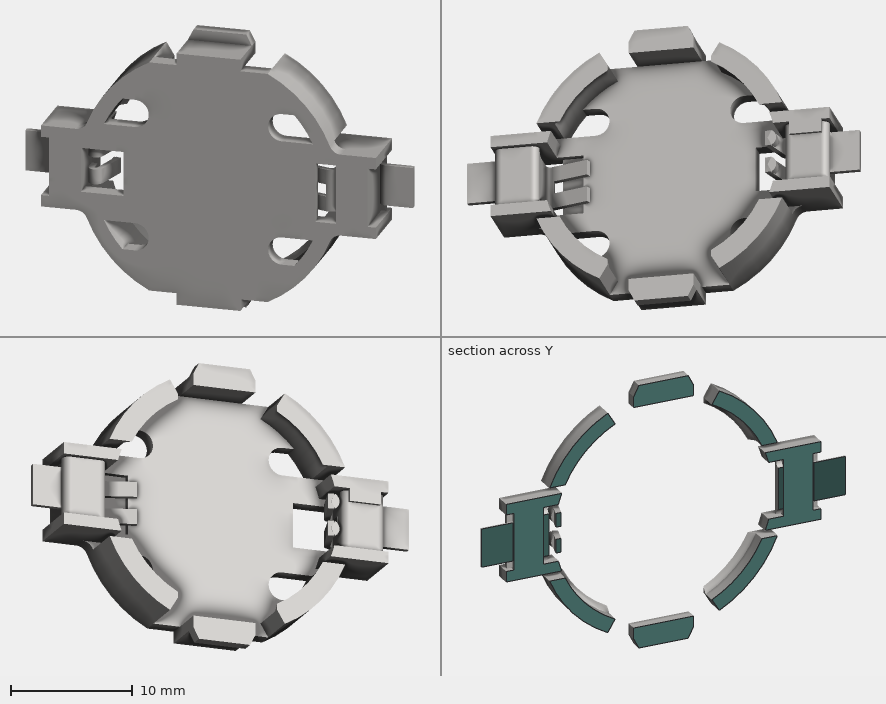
import cadquery as cq
import math


overall_height = 23.9
disc_height = 20.0
clip_width = 5.47
plate_thickness = 1.4
wall_height = 5.2
outer_radius = 11.2
cavity_radius = 9.88
rim_radius = 9.4
flat_half_height = disc_height / 2
wall_end_z = 4.2
wall_opening_inner_x = 4.38
flat_half_width = math.sqrt(outer_radius**2 - flat_half_height**2)
cavity_opening_z = math.sqrt(cavity_radius**2 - wall_opening_inner_x**2)

clip_half_width = clip_width / 2
clip_top_z = 11.0
clip_height = 4.55
lip_bottom_y = 3.45
lip_top_z = overall_height / 2
lip_end_half_width = 2.25

arm_end_x = 14.32
arm_half_width = 3.55
arm_height = 4.95
arm_blend_radius = 1.0
channel_half_width = 2.55
saddle_outer_x = 13.62
saddle_inner_x = 10.9
saddle_height = 4.15

bottom_window_inner_x = 9.15
edge_window_inner_x = 7.25
edge_window_half_width = 1.92

slot_inner_x = 5.1
slot_low_z = wall_end_z
slot_width = 2.4

prong_recess_inner_x = 7.3
prong_recess_y = 0.83
keeper_low_z = 1.45

sheet = 0.5
bend_inner = 0.1
bend = bend_inner + sheet / 2
contact_end_x = 16.58
leg_bottom_y = 3.25
leg_half_width = 1.75
band_half_width = 2.45
spring_half_width = 1.82
shoulder_y = 3.3
shoulder_radius = band_half_width - spring_half_width
prong_gap_half_width = 0.53

edge_hook_inner = 0.13
edge_hook_radius = edge_hook_inner + sheet / 2
edge_hook_bottom_y = 1.75
edge_prong_angle = 75
edge_pad_start_y = 4.3
edge_pad_outer_x = 9.88
edge_pad_radius = 0.73

bottom_hook_inner = 0.33
bottom_hook_radius = bottom_hook_inner + sheet / 2
bottom_hook_bottom_y = 0.73
bottom_prong_angle = 17
bottom_prong_length = 3.3


def block(x_range, y_range, z_range):
    """Box spanning the given ranges."""
    (x0, x1), (y0, y1), (z0, z1) = x_range, y_range, z_range
    return cq.Workplane("XY").box(x1 - x0, y1 - y0, z1 - z0, centered=False).translate((x0, y0, z0))


def front_plane(y=0):
    """Workplane at depth y whose local axes are X and Z; a negative extrude goes towards +Y."""
    return cq.Workplane("XZ", origin=(0, y, 0))


def disc(radius, y0, y1):
    """Cylinder on the Y axis between two depths."""
    return front_plane(y0).circle(radius).extrude(y0 - y1)


def both_ways(half_size):
    """Range centred on zero."""
    return (-half_size, half_size)


def arm_blends():
    """Concave corners between the arms and the disc, as high as the plate."""
    centre_z = arm_half_width + arm_blend_radius
    centre_distance = outer_radius + arm_blend_radius
    centre_x = math.sqrt(centre_distance**2 - centre_z**2)
    touch_x = centre_x * outer_radius / centre_distance
    touch_z = centre_z * outer_radius / centre_distance
    corner = (
        front_plane()
        .moveTo(cavity_radius, arm_half_width)
        .lineTo(centre_x, arm_half_width)
        .lineTo(centre_x, centre_z)
        .lineTo(touch_x, touch_z)
        .close()
        .extrude(-plate_thickness)
        .cut(front_plane().center(centre_x, centre_z).circle(arm_blend_radius).extrude(-plate_thickness))
    )
    upper = corner.union(corner.mirror("YZ"))
    return upper.union(upper.mirror("XY"))


def base_plate():
    """Disc with flats at the top and bottom, blended into the arms."""
    plate = disc(outer_radius, 0, plate_thickness)
    limits = block(both_ways(outer_radius), (0, plate_thickness), both_ways(flat_half_height))
    return plate.intersect(limits).union(arm_blends())


def side_walls():
    """Two pairs of curved walls around the cavity, with a rim that leans inwards at 45 degrees."""
    rim_y = wall_height - (cavity_radius - rim_radius)
    rim_cone = (
        front_plane(rim_y)
        .circle(cavity_radius)
        .workplane(offset=rim_y - wall_height)
        .circle(rim_radius)
        .loft()
    )
    ring = disc(outer_radius, 0, wall_height)
    ring = ring.cut(disc(cavity_radius, plate_thickness, rim_y)).cut(rim_cone)
    quadrant = (
        front_plane()
        .moveTo(wall_opening_inner_x, wall_end_z)
        .lineTo(outer_radius, wall_end_z)
        .lineTo(outer_radius, flat_half_height)
        .lineTo(flat_half_width, flat_half_height)
        .lineTo(wall_opening_inner_x, cavity_opening_z)
        .close()
        .extrude(-wall_height)
    )
    upper = quadrant.union(quadrant.mirror("YZ"))
    return ring.intersect(upper.union(upper.mirror("XY")))


def clip():
    """Upper retaining clip with an outward lip whose corners are cut off."""
    stem = block(both_ways(clip_half_width), (0, clip_height), (0, clip_top_z))
    stem = stem.cut(
        block(both_ways(clip_half_width), (plate_thickness, clip_height), (0, flat_half_height))
    )
    lip = (
        front_plane(lip_bottom_y)
        .moveTo(-clip_half_width, clip_top_z)
        .lineTo(clip_half_width, clip_top_z)
        .lineTo(lip_end_half_width, lip_top_z)
        .lineTo(-lip_end_half_width, lip_top_z)
        .close()
        .extrude(lip_bottom_y - clip_height)
    )
    return stem.union(lip)


def arm():
    """Arm at +X: a channel with a low saddle across it and a notched end."""
    body = block((0, arm_end_x), (0, arm_height), both_ways(arm_half_width))
    channel = block((0, arm_end_x), (plate_thickness, arm_height), both_ways(channel_half_width))
    notch = block((saddle_outer_x, arm_end_x), (0, arm_height), both_ways(channel_half_width))
    saddle = block((saddle_inner_x, saddle_outer_x), (0, saddle_height), both_ways(channel_half_width))
    saddle = saddle.edges(">Y and |Z").fillet(bend_inner)
    cavity = disc(cavity_radius, plate_thickness, arm_height)
    return body.cut(channel).cut(notch).cut(cavity).union(saddle)


def corner_slot():
    """Slot through the plate with a round inner end and its outer end flush with the cavity wall."""
    radius = slot_width / 2
    slot = (
        front_plane()
        .moveTo(cavity_radius, slot_low_z)
        .lineTo(slot_inner_x + radius, slot_low_z)
        .threePointArc(
            (slot_inner_x, slot_low_z + radius),
            (slot_inner_x + radius, slot_low_z + slot_width),
        )
        .lineTo(cavity_radius, slot_low_z + slot_width)
        .close()
        .extrude(-plate_thickness)
    )
    return slot.intersect(disc(cavity_radius, 0, plate_thickness))


def make_housing():
    """Plate, walls, two clips and two arms, with the slots and windows cut through."""
    housing = base_plate().union(side_walls())
    housing = housing.union(clip()).union(clip().mirror("XY"))
    housing = housing.union(arm()).union(arm().mirror("YZ"))

    upper_slots = corner_slot().union(corner_slot().mirror("YZ"))
    housing = housing.cut(upper_slots).cut(upper_slots.mirror("XY"))

    bottom_window = block(
        (bottom_window_inner_x, saddle_inner_x), (0, plate_thickness), both_ways(channel_half_width)
    )
    edge_window = block(
        (-saddle_inner_x, -edge_window_inner_x), (0, plate_thickness), both_ways(edge_window_half_width)
    )
    prong_recess = block(
        (prong_recess_inner_x, bottom_window_inner_x),
        (prong_recess_y, plate_thickness),
        both_ways(channel_half_width),
    )
    housing = housing.cut(bottom_window).cut(edge_window).cut(prong_recess)

    keeper = block(
        (-saddle_outer_x, -saddle_inner_x),
        (saddle_height + sheet, arm_height),
        (keeper_low_z, channel_half_width),
    )
    return housing.union(keeper)


def bent_sheet(start, heading, moves):
    """Sheet that follows a path in the XY plane, as wide as the band.

    Each move is (length, 0, 0) for a straight run or (0, turn, radius) for a bend,
    with angles in degrees, a positive turn to the left, and radii to the middle of the sheet.
    """
    x, y = start
    angle = math.radians(heading)

    def offset(px, py, direction, side):
        """Point on one face of the sheet: side 1 is the left face, -1 the right."""
        shift = side * sheet / 2
        return (px - shift * math.sin(direction), py + shift * math.cos(direction))

    stations = [(x, y, angle, None)]
    for length, turn, radius in moves:
        if turn == 0:
            x += length * math.cos(angle)
            y += length * math.sin(angle)
            stations.append((x, y, angle, None))
            continue
        side = math.copysign(1, turn)
        centre_x = x - side * radius * math.sin(angle)
        centre_y = y + side * radius * math.cos(angle)
        points = []
        for share in (0.5, 1.0):
            direction = angle + math.radians(turn) * share
            points.append((
                centre_x + side * radius * math.sin(direction),
                centre_y - side * radius * math.cos(direction),
                direction,
            ))
        x, y, angle = points[1]
        stations.append((x, y, angle, points[0]))

    outline = cq.Workplane("XY").moveTo(*offset(*stations[0][:3], 1))
    for px, py, direction, middle in stations[1:]:
        end = offset(px, py, direction, 1)
        outline = outline.threePointArc(offset(*middle, 1), end) if middle else outline.lineTo(*end)
    outline = outline.lineTo(*offset(*stations[-1][:3], -1))
    for index in range(len(stations) - 1, 0, -1):
        middle = stations[index][3]
        end = offset(*stations[index - 1][:3], -1)
        outline = outline.threePointArc(offset(*middle, -1), end) if middle else outline.lineTo(*end)
    return outline.close().extrude(band_half_width, both=True)


def contact_sheet(hook_radius, hook_bottom_y, prong_angle, prong_length):
    """Leg, band over the saddle, hook behind it and prong, all at the full band width."""
    leg_y = leg_bottom_y + sheet / 2
    leg_length = contact_end_x - saddle_outer_x - sheet / 2 - bend
    rise = saddle_height + sheet / 2 - leg_y - 2 * bend
    span = saddle_outer_x - saddle_inner_x + sheet - 2 * bend
    drop = saddle_height - bend_inner - (hook_bottom_y + sheet / 2 + hook_radius)
    moves = [
        (leg_length, 0, 0),
        (0, -90, bend),
        (rise, 0, 0),
        (0, 90, bend),
        (span, 0, 0),
        (0, 90, bend),
        (drop, 0, 0),
        (0, -90 - prong_angle, hook_radius),
        (prong_length, 0, 0),
    ]
    return bent_sheet((contact_end_x, leg_y), 180, moves)


def trim_widths(contact):
    """Narrow the leg and the spring, leaving only the band over the saddle at full width."""
    middle_x = (saddle_outer_x + saddle_inner_x) / 2
    leg_shoulder_y = leg_bottom_y + sheet + bend_inner
    leg_side = block(
        (middle_x, contact_end_x), (0, leg_shoulder_y), (leg_half_width, band_half_width)
    )
    spring_side = (
        cq.Workplane("YZ")
        .moveTo(0, spring_half_width)
        .lineTo(shoulder_y, spring_half_width)
        .radiusArc((shoulder_y + shoulder_radius, band_half_width), -shoulder_radius)
        .lineTo(0, band_half_width)
        .close()
        .extrude(middle_x)
    )
    prong_side = block(
        (0, saddle_inner_x - sheet), (0, wall_height), (spring_half_width, band_half_width)
    )
    for side in (leg_side, spring_side, prong_side):
        contact = contact.cut(side).cut(side.mirror("XY"))
    return contact


def prong_gap(start_x):
    """Space between the two prongs, inwards from start_x."""
    return block((0, start_x), (0, wall_height), both_ways(prong_gap_half_width))


def edge_pad():
    """Round pad on the outer side of the upper edge prong, as wide as the prong."""
    centre_x = edge_pad_outer_x - edge_pad_radius
    centre_z = (prong_gap_half_width + spring_half_width) / 2
    half_width = (spring_half_width - prong_gap_half_width) / 2
    side_x = centre_x + math.sqrt(edge_pad_radius**2 - half_width**2)
    return (
        front_plane(edge_pad_start_y)
        .moveTo(centre_x, centre_z)
        .lineTo(side_x, centre_z - half_width)
        .threePointArc((edge_pad_outer_x, centre_z), (side_x, centre_z + half_width))
        .close()
        .extrude(edge_pad_start_y - wall_height)
    )


def make_edge_contact():
    """Contact at -X: two steep prongs that press on the rim of the cell."""
    slope = math.radians(edge_prong_angle)
    prong_start_y = edge_hook_bottom_y + sheet / 2 + edge_hook_radius * (1 - math.cos(slope))
    end_corner_rise = sheet / 2 * math.cos(slope)
    prong_length = (wall_height - end_corner_rise - prong_start_y) / math.sin(slope)
    contact = contact_sheet(edge_hook_radius, edge_hook_bottom_y, edge_prong_angle, prong_length)
    contact = trim_widths(contact).cut(prong_gap(saddle_inner_x - sheet))
    hook_gap = block((0, saddle_inner_x), (0, shoulder_y), both_ways(prong_gap_half_width))
    contact = contact.cut(hook_gap)
    contact = contact.union(edge_pad()).union(edge_pad().mirror("XY"))
    return contact.mirror("YZ")


def make_bottom_contact():
    """Contact at +X: two shallow prongs that press on the flat face of the cell."""
    contact = contact_sheet(
        bottom_hook_radius, bottom_hook_bottom_y, bottom_prong_angle, bottom_prong_length
    )
    hook_centre_x = saddle_inner_x - sheet / 2 - bottom_hook_radius
    hook_outer_radius = bottom_hook_radius + sheet / 2
    hook_end_x = hook_centre_x - hook_outer_radius * math.sin(math.radians(bottom_prong_angle))
    return trim_widths(contact).cut(prong_gap(hook_end_x))


housing = make_housing()
edge_contact = make_edge_contact()
bottom_contact = make_bottom_contact()

result = cq.Compound.makeCompound([housing.val(), edge_contact.val(), bottom_contact.val()])